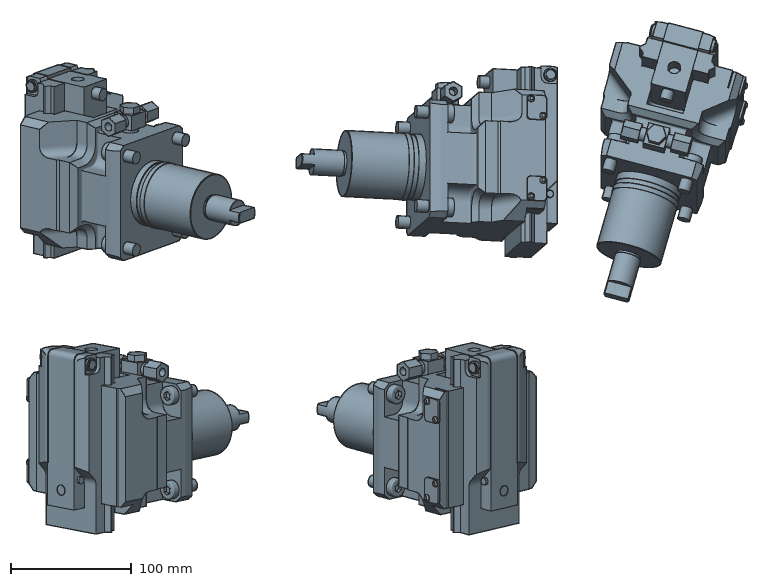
import cadquery as cq
import math

PAST = 86.8
TOLERANCE = 0.02

CARRIER_FRONT = 12.4
CARRIER_BACK = 34.3
CARRIER_HALF = 28.5
CARRIER_TOP = 83.3
CARRIER_BOTTOM = -65.3
RAIL_TIP_HALF = 32.3
RAIL_START = 22.8
RAIL_END = 30.8
RAIL_TIP_START = 26.3
RAIL_TIP_END = 27.5
COVER_BACK = 17.1
COVER_TOP = 86.5
WING_TOP = 86.2
WING_EDGE_RADIUS = 5.2
WING_TOP_BACK = 15.8
WING_FLAT_HALF = 18.0
WING_FLAT_X = 0.7
WING_BEVEL_X = 3.5
WING_BOTTOM = -9.0
UNDERCUT_RADIUS = 8.2
TONGUE_HALF = 15.0
TONGUE_BOTTOM = -45.0
TONGUE_EDGE_RADIUS = 5.0
NOTCH_HALF = 24.5
NOTCH_FRONT = 2.8
NOTCH_BOTTOM = 70.8
NOTCH_RADIUS = 5.5
CLAMP_X = 8.7
CLAMP_Z = 78.5
CLAMP_RADIUS = 5.5
CLAMP_TIP_RADIUS = 4.1
CLAMP_HEAD_Y = 27.0
CLAMP_TIP_Y = 28.0
PIN_X = 6.7
PIN_Z = -20.5
PIN_RADIUS = 3.0
PIN_HALF = 17.1
PLUG_Z = -30.2
PLUG_RADIUS = 4.3
PLUG_DEPTH = 0.5

BLOCK_TOP = 83.8
BLOCK_BACK = 55.1
BLOCK_SCREW_Z = 75.3
BLOCK_SCREW_RADIUS = 5.2
BLOCK_SCREW_END = 63.5
BLOCK_HOLE_X = 36.7
BLOCK_HOLE_RADIUS = 5.2
BLOCK_HOLE_DEPTH = 17.4

HOUSING_FRONT = 18.9
HOUSING_SIDE_FRONT = 19.8
FRONT_GROOVE_INNER = 45.4
FRONT_GROOVE_OUTER = 46.2
FRONT_STEP_OUTER = 46.7
HOUSING_BACK = 76.0
HOUSING_HALF = 55.0
HOUSING_BACK_HALF = 53.6
SIDE_STEP_START = 58.2
SIDE_STEP_END = 60.1
HOUSING_TOP = 59.7
HOUSING_BOTTOM = -50.1
HOUSING_TOP_CHAMFER = 5.9
HOUSING_BOTTOM_CHAMFER = 14.8
HOUSING_BACK_CHAMFER = 5.0
FRONT_FOOT = -40.5
CHANNEL_BACK = 35.2
SLOT_HALF = 15.6
SLOT_BACK = 66.0
SLOT_FLOOR = 30.4
SLOT_RADIUS = 7.5

POCKET_INNER = 30.5
POCKET_RADIUS = 9.8
POCKET_SLOPE_START = 40.2
POCKET_SLOPE_RADIUS = 7.5
NECK_HALF = 42.5
NECK_TOP = 49.7
NECK_POCKET_INNER = 21.7
NECK_POCKET_RADIUS = 10.5
NECK_ROOT_RADIUS = 1.3
FLANGE_FRONT = 100.3
FLANGE_TAPER_START = 106.1
FLANGE_BACK = 115.0
FLANGE_BACK_HALF = 41.2
FLANGE_TOP_HALF = 36.7
FLANGE_CORNER_DROP = 4.8
BOLT_Y = 32.5
BOLT_Z = 40.0
BOLT_HEAD_RADIUS = 7.8
BOLT_HEAD_FRONT = 93.8
BOLT_HEAD_ROUNDING = 1.0
BOLT_RADIUS = 5.2
BOLT_END = 125.2
BOLT_SOCKET_ACROSS = 6.5
BOLT_SOCKET_DEPTH = 3.3

SPINDLE_RADIUS = 27.5
COLLAR_RADIUS = 28.0
GROOVE_RADIUS = 26.7
GROOVE_START = 121.1
COLLAR_START = 125.2
COLLAR_END = 129.5
SPINDLE_END = 178.6
SPINDLE_CHAMFER = 0.5
SHAFT_RADIUS = 10.9
SHAFT_NECK_RADIUS = 10.2
SHAFT_NECK_END = 180.5
TANG_START = 206.2
TANG_END = 217.0
TANG_HALF = 4.8
TANG_EDGE_HALF = 4.1
TANG_FLAT_WIDTH_HALF = 7.4
TANG_CHAMFER = 0.7

FITTING_X = 92.2
FITTING_Z = 59.7
FITTING_WIDTH = 18.2
FITTING_HEIGHT = 13.0
FITTING_FOOT_RADIUS = 7.2
FITTING_NECK_RADIUS = 5.6
NUT_ACROSS = 14.5
NUT_START = 14.0
NUT_END = 28.9
NUT_HOLE_RADIUS = 3.5
NUT_HOLE_DEPTH = 8.7
CAP_TOP = 71.6

PLATE_X = 27.5
UPPER_PLATE_Z = 43.6
LOWER_PLATE_Z = -25.2
PLATE_SCREW_SPACING_X = 10.2
PLATE_SCREW_SPACING_Z = 14.0
PLATE_CORNER_RADIUS = 3.3
PLATE_THICKNESS = 2.0
PLATE_SCREW_HEIGHT = 2.0
PLATE_SCREW_RADIUS = 2.8
PLATE_SCREW_CHAMFER = 1.3


def block(x_range, y_range, z_range):
    lengths = [high - low for low, high in (x_range, y_range, z_range)]
    corner = (x_range[0], y_range[0], z_range[0])
    return cq.Workplane("XY").box(*lengths, centered=False).translate(corner)


def rod(start, direction, length, radius):
    return cq.Workplane(
        cq.Solid.makeCylinder(radius, length, cq.Vector(*start), cq.Vector(*direction))
    )


def plan(points, bottom, top):
    """Prism standing along Z on an XY outline."""
    return cq.Workplane("XY").workplane(offset=bottom).polyline(points).close().extrude(top - bottom)


def section(points, front, back):
    """Prism running along X from a YZ outline."""
    return cq.Workplane("YZ").workplane(offset=front).polyline(points).close().extrude(back - front)


def mirrored(half):
    """Outline points on the +Y side followed by their -Y mirror images."""
    return half + [(x, -y) for x, y in reversed(half)]


def mirrored_section(half):
    return half + [(-y, z) for y, z in reversed(half)]


def both_sides(shape):
    return shape.union(shape.mirror("XZ"))


def four_corners(shape):
    pair = both_sides(shape)
    return pair.union(pair.mirror("XY"))


def hexagon(plane, origin, across, length):
    """Hexagonal prism with two flats square to the local x direction of the plane."""
    corner_diameter = across / math.cos(math.pi / 6)
    prism = cq.Workplane(plane).polygon(6, corner_diameter).extrude(length)
    axis = {"XY": (0, 0, 1), "XZ": (0, 1, 0), "YZ": (1, 0, 0)}[plane]
    return prism.rotate((0, 0, 0), axis, 30).translate(origin)


def corner_pocket(front, back, inner, radius):
    """Pocket outside y = z = inner, with a rounded inner corner."""
    pocket = block((front, back), (inner, PAST), (inner, PAST))
    return four_corners(pocket.edges("<Y and <Z").fillet(radius))


def sloped_pocket():
    """Run-out of the corner pockets towards the front, along a slanting wall."""
    run = SIDE_STEP_END - POCKET_SLOPE_START
    rise = HOUSING_HALF - POCKET_INNER
    outside = 2 * HOUSING_HALF - POCKET_INNER
    outline = [
        (POCKET_SLOPE_START - run, outside),
        (SIDE_STEP_END, POCKET_INNER),
        (SIDE_STEP_END, outside),
    ]
    pocket = plan(outline, POCKET_INNER, PAST)
    middle = (POCKET_SLOPE_START, POCKET_INNER + rise, POCKET_INNER)
    slope_edge = cq.selectors.NearestToPointSelector(middle)
    return four_corners(pocket.edges(slope_edge).fillet(POCKET_SLOPE_RADIUS))


def carrier():
    outline = mirrored([
        (CARRIER_FRONT, CARRIER_HALF),
        (RAIL_START, CARRIER_HALF),
        (RAIL_TIP_START, RAIL_TIP_HALF),
        (RAIL_TIP_END, RAIL_TIP_HALF),
        (RAIL_END, CARRIER_HALF),
        (CARRIER_BACK, CARRIER_HALF),
    ])
    body = plan(outline, CARRIER_BOTTOM, CARRIER_TOP)
    body = body.union(block(
        (CARRIER_FRONT, BLOCK_BACK), (-TONGUE_HALF, TONGUE_HALF), (SLOT_FLOOR, BLOCK_TOP)))
    screw = rod((BLOCK_BACK, 0, BLOCK_SCREW_Z), (1, 0, 0),
                BLOCK_SCREW_END - BLOCK_BACK, BLOCK_SCREW_RADIUS)
    hole = rod((BLOCK_HOLE_X, 0, BLOCK_TOP), (0, 0, -1), BLOCK_HOLE_DEPTH, BLOCK_HOLE_RADIUS)
    return body.union(screw).cut(hole)


def cover_wings():
    outline = mirrored([
        (WING_FLAT_X, WING_FLAT_HALF),
        (WING_BEVEL_X, CARRIER_HALF),
        (COVER_BACK, CARRIER_HALF),
    ])
    arc_depth = UNDERCUT_RADIUS * (1 - math.sin(math.pi / 4))
    arc_drop = UNDERCUT_RADIUS * math.sin(math.pi / 4)
    arc_start = CARRIER_FRONT - arc_depth
    arc_top = WING_BOTTOM - (arc_start - WING_FLAT_X)
    bottom = arc_top - arc_drop
    wings = plan(outline, bottom, WING_TOP)
    side = (
        cq.Workplane("XZ")
        .moveTo(WING_FLAT_X, WING_BOTTOM)
        .lineTo(arc_start, arc_top)
        .tangentArcPoint((arc_depth, -arc_drop))
        .lineTo(COVER_BACK, bottom)
        .lineTo(COVER_BACK, CARRIER_TOP)
        .lineTo(WING_TOP_BACK, WING_TOP)
        .lineTo(WING_FLAT_X + WING_EDGE_RADIUS, WING_TOP)
        .tangentArcPoint((-WING_EDGE_RADIUS, -WING_EDGE_RADIUS))
        .close()
        .extrude(CARRIER_HALF, both=True)
    )
    return wings.intersect(side)


def cover_notch():
    """Open-topped seat for the clamp screw in each upper corner of the cover."""
    notch = block((NOTCH_FRONT, COVER_BACK), (NOTCH_HALF, PAST), (NOTCH_BOTTOM, PAST))
    return both_sides(notch.edges(">X and <Z").fillet(NOTCH_RADIUS))


def tongue():
    bar = block((0, COVER_BACK), (-TONGUE_HALF, TONGUE_HALF), (TONGUE_BOTTOM, COVER_TOP))
    bar = bar.edges("<X and >Z").fillet(TONGUE_EDGE_RADIUS)
    plug = rod((0, 0, PLUG_Z), (1, 0, 0), PLUG_DEPTH, PLUG_RADIUS)
    pin = rod((PIN_X, -PIN_HALF, PIN_Z), (0, 1, 0), 2 * PIN_HALF, PIN_RADIUS)
    return bar.cut(plug).union(pin)


def clamp_screws():
    start = (CLAMP_X, NOTCH_HALF, CLAMP_Z)
    head = rod(start, (0, 1, 0), CLAMP_HEAD_Y - NOTCH_HALF, CLAMP_RADIUS)
    tip = rod(start, (0, 1, 0), CLAMP_TIP_Y - NOTCH_HALF, CLAMP_TIP_RADIUS)
    return both_sides(head.union(tip))


def housing():
    side = [
        (HOUSING_SIDE_FRONT, HOUSING_HALF),
        (SIDE_STEP_START, HOUSING_HALF),
        (SIDE_STEP_END, HOUSING_BACK_HALF),
        (HOUSING_BACK, HOUSING_BACK_HALF),
    ]
    groove = [
        (HOUSING_FRONT, FRONT_GROOVE_INNER),
        (CARRIER_BACK, FRONT_GROOVE_INNER),
        (CARRIER_BACK, FRONT_GROOVE_OUTER),
        (HOUSING_SIDE_FRONT, FRONT_GROOVE_OUTER),
    ]
    bevel = [
        (HOUSING_SIDE_FRONT, -FRONT_STEP_OUTER),
        (HOUSING_FRONT, -FRONT_GROOVE_INNER),
    ]
    outline = groove + mirrored(side) + bevel
    profile = mirrored_section([
        (HOUSING_HALF - HOUSING_TOP_CHAMFER, HOUSING_TOP),
        (HOUSING_HALF, HOUSING_TOP - HOUSING_TOP_CHAMFER),
        (HOUSING_HALF, HOUSING_BOTTOM + HOUSING_BOTTOM_CHAMFER),
        (HOUSING_HALF - HOUSING_BOTTOM_CHAMFER, HOUSING_BOTTOM),
    ])
    body = plan(outline, HOUSING_BOTTOM, HOUSING_TOP)
    body = body.intersect(section(profile, HOUSING_FRONT, HOUSING_BACK))
    body = body.cut(sloped_pocket())
    body = body.cut(corner_pocket(SIDE_STEP_END, HOUSING_BACK, POCKET_INNER, POCKET_RADIUS))
    body = body.faces(">X").edges("not(<Z)").chamfer(HOUSING_BACK_CHAMFER)

    foot = block((HOUSING_FRONT, CARRIER_BACK), (-PAST, PAST), (HOUSING_BOTTOM, FRONT_FOOT))
    channel = block(
        (HOUSING_FRONT, CHANNEL_BACK), (-CARRIER_HALF, CARRIER_HALF), (HOUSING_BOTTOM, HOUSING_TOP))
    slot = block((HOUSING_FRONT, SLOT_BACK), (-SLOT_HALF, SLOT_HALF), (SLOT_FLOOR, HOUSING_TOP))
    slot = slot.edges("|X and <Z").fillet(SLOT_RADIUS)
    return body.cut(foot).cut(channel).cut(slot)


def housing_with_neck():
    neck = block((HOUSING_BACK, FLANGE_FRONT), (-NECK_HALF, NECK_HALF), (HOUSING_BOTTOM, NECK_TOP))
    neck = neck.cut(corner_pocket(HOUSING_BACK, FLANGE_FRONT, NECK_POCKET_INNER, NECK_POCKET_RADIUS))
    root_centers = [edge.Center() for edge in neck.faces("<X").edges("not(<Z)").vals()]

    def is_root(edge):
        return any((edge.Center() - center).Length < TOLERANCE for center in root_centers)

    return housing().union(neck).edges().filter(is_root).fillet(NECK_ROOT_RADIUS)


def flange():
    outline = mirrored([
        (FLANGE_FRONT, NECK_HALF),
        (FLANGE_TAPER_START, NECK_HALF),
        (FLANGE_BACK, FLANGE_BACK_HALF),
    ])
    profile = mirrored_section([
        (FLANGE_TOP_HALF, NECK_TOP),
        (NECK_HALF, NECK_TOP - FLANGE_CORNER_DROP),
        (NECK_HALF, HOUSING_BOTTOM + FLANGE_CORNER_DROP),
        (FLANGE_TOP_HALF, HOUSING_BOTTOM),
    ])
    plate = plan(outline, HOUSING_BOTTOM, NECK_TOP)
    return plate.intersect(section(profile, FLANGE_FRONT, FLANGE_BACK))


def flange_bolts():
    head_length = FLANGE_FRONT - BOLT_HEAD_FRONT
    head = rod((BOLT_HEAD_FRONT, BOLT_Y, BOLT_Z), (1, 0, 0), head_length, BOLT_HEAD_RADIUS)
    head = head.faces("<X").edges().fillet(BOLT_HEAD_ROUNDING)
    socket = hexagon("YZ", (BOLT_HEAD_FRONT, BOLT_Y, BOLT_Z), BOLT_SOCKET_ACROSS, BOLT_SOCKET_DEPTH)
    shank = rod((FLANGE_FRONT, BOLT_Y, BOLT_Z), (1, 0, 0), BOLT_END - FLANGE_FRONT, BOLT_RADIUS)
    return four_corners(head.cut(socket).union(shank))


def spindle():
    outline = [
        (FLANGE_FRONT, 0),
        (FLANGE_FRONT, SPINDLE_RADIUS),
        (GROOVE_START, SPINDLE_RADIUS),
        (GROOVE_START, GROOVE_RADIUS),
        (COLLAR_START, GROOVE_RADIUS),
        (COLLAR_START, COLLAR_RADIUS),
        (COLLAR_END, COLLAR_RADIUS),
        (COLLAR_END, SPINDLE_RADIUS),
        (SPINDLE_END - SPINDLE_CHAMFER, SPINDLE_RADIUS),
        (SPINDLE_END, SPINDLE_RADIUS - SPINDLE_CHAMFER),
        (SPINDLE_END, SHAFT_NECK_RADIUS),
        (SHAFT_NECK_END, SHAFT_NECK_RADIUS),
        (SHAFT_NECK_END, SHAFT_RADIUS),
        (TANG_END - TANG_CHAMFER, SHAFT_RADIUS),
        (TANG_END, SHAFT_RADIUS - TANG_CHAMFER),
        (TANG_END, 0),
    ]
    turned = cq.Workplane("XY").polyline(outline).close().revolve(360, (0, 0, 0), (1, 0, 0))
    tang_profile = mirrored_section([
        (TANG_FLAT_WIDTH_HALF, TANG_HALF),
        (SHAFT_RADIUS, TANG_EDGE_HALF),
        (SHAFT_RADIUS, -TANG_EDGE_HALF),
        (TANG_FLAT_WIDTH_HALF, -TANG_HALF),
    ])
    tang_zone = block((TANG_START, TANG_END), (-PAST, PAST), (-PAST, PAST))
    return turned.cut(tang_zone.cut(section(tang_profile, TANG_START, TANG_END)))


def fitting():
    half = FITTING_WIDTH / 2
    top = FITTING_Z + FITTING_HEIGHT / 2
    body = block((FITTING_X - half, FITTING_X + half), (-half, half), (top - FITTING_HEIGHT, top))
    foot = rod((FITTING_X, 0, NECK_TOP), (0, 0, 1), FITTING_Z - NECK_TOP, FITTING_FOOT_RADIUS)
    cap = hexagon("XY", (FITTING_X, 0, top), NUT_ACROSS, CAP_TOP - top)
    neck = rod((FITTING_X, 0, FITTING_Z), (0, 1, 0), NUT_START, FITTING_NECK_RADIUS)
    nut = hexagon("XZ", (FITTING_X, NUT_END, FITTING_Z), NUT_ACROSS, NUT_END - NUT_START)
    hole = rod((FITTING_X, NUT_END, FITTING_Z), (0, -1, 0), NUT_HOLE_DEPTH, NUT_HOLE_RADIUS)
    return body.union(foot).union(cap).union(both_sides(neck.union(nut.cut(hole))))


def side_plates():
    """Two plates whose screw diagonals mirror each other."""
    plate = (
        cq.Workplane("XZ")
        .rect(PLATE_SCREW_SPACING_X + 2 * PLATE_CORNER_RADIUS,
              PLATE_SCREW_SPACING_Z + 2 * PLATE_CORNER_RADIUS)
        .extrude(-PLATE_THICKNESS)
        .edges("|Y")
        .fillet(PLATE_CORNER_RADIUS)
    )
    head = rod((0, PLATE_THICKNESS, 0), (0, 1, 0), PLATE_SCREW_HEIGHT, PLATE_SCREW_RADIUS)
    head = head.faces(">Y").chamfer(PLATE_SCREW_CHAMFER)
    for end in (-0.5, 0.5):
        plate = plate.union(head.translate((end * PLATE_SCREW_SPACING_X, 0, end * PLATE_SCREW_SPACING_Z)))
    upper = plate.translate((PLATE_X, HOUSING_HALF, UPPER_PLATE_Z))
    lower = plate.mirror("XY").translate((PLATE_X, HOUSING_HALF, LOWER_PLATE_Z))
    return upper.union(lower)


cover = cover_wings().cut(cover_notch())
front_unit = carrier().cut(cover_notch()).union(cover).union(tongue()).union(clamp_screws())
result = housing_with_neck().union(front_unit)
for piece in (flange(), flange_bolts(), spindle(), fitting(), side_plates()):
    result = result.union(piece)